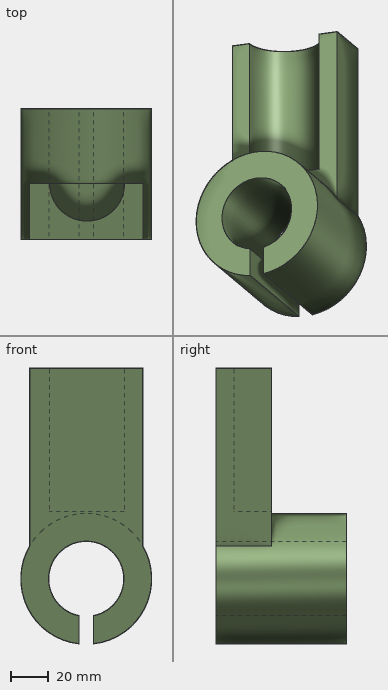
import cadquery as cq

barrel_diameter = 69.0
barrel_length = 69.0
bore_diameter = 39.5
slit_width = 7.5

overall_height = 145.2
block_width = 59.5
block_depth = 29.5
groove_diameter = bore_diameter
groove_offset = 0.5
groove_length = 75.5

barrel_radius = barrel_diameter / 2
bore_radius = bore_diameter / 2
barrel_bottom = -((barrel_radius**2 - (slit_width / 2) ** 2) ** 0.5)
block_top = overall_height + barrel_bottom


def y_cylinder(radius):
    """Cylinder spanning the barrel length, from the front face at Y = 0."""
    return cq.Workplane("XZ").circle(radius).extrude(-barrel_length)


def upright_block():
    """Block rising from the barrel, with a blind half-round groove down its rear face."""
    block = cq.Workplane("XY").rect(block_width, block_depth).extrude(block_top)
    block = block.translate((0, block_depth / 2, 0))
    groove = (
        cq.Workplane("XY", origin=(groove_offset, block_depth, block_top))
        .circle(groove_diameter / 2)
        .extrude(-groove_length)
    )
    return block.cut(groove)


def clamp_slit():
    """Slot opening the bore through the bottom of the barrel."""
    return cq.Workplane("XY").box(
        slit_width, barrel_length, barrel_radius, centered=(True, False, False)
    ).translate((0, 0, -barrel_radius))


result = (
    y_cylinder(barrel_radius)
    .union(upright_block())
    .cut(y_cylinder(bore_radius))
    .cut(clamp_slit())
)